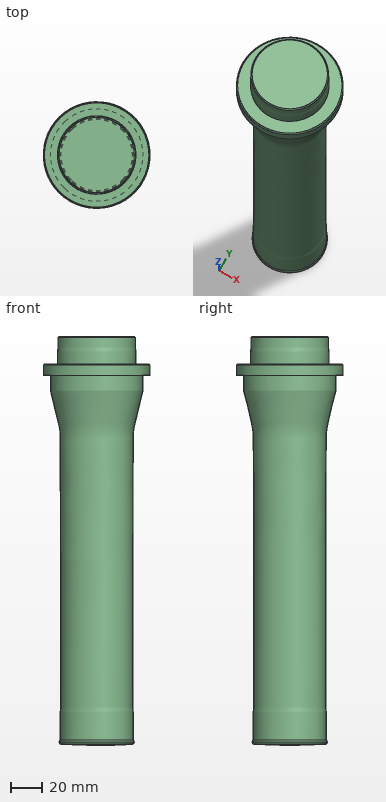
import cadquery as cq
import math

TOTAL_HEIGHT = 261.0
CAP_CROWN = 0.8
CAP_RIM_HEIGHT = 2.3
CAP_SEAT = 3.7
TUBE_STEP_BOTTOM = 21.1
TUBE_STEP_TOP = 24.0
TUBE_TAPER_BOTTOM = 118.2
TUBE_TAPER_TOP = 192.3
FLARE_BOTTOM = 197.0
FLARE_CORNER = 201.0
FLARE_TOP = 226.3
FLANGE_BOTTOM = 236.2
FLANGE_TOP = 243.5
PLUG_STEP_BOTTOM = 251.3
PLUG_STEP_TOP = 253.7

CAP_DIAMETER = 48.0
CAP_DOME_DIAMETER = 45.5
TUBE_DIAMETER = 46.7
TUBE_WAIST_DIAMETER = 46.2
COLLAR_DIAMETER = 59.0
FLANGE_DIAMETER = 68.0
PLUG_BASE_DIAMETER = 50.0
PLUG_TOP_DIAMETER = 49.5

EDGE_CHAMFER = 0.8
CAP_RIM_ROUND = 2.0


def make_housing():
    """Tube, flared neck, flange and plug, revolved as one solid."""
    tube_radius = TUBE_DIAMETER / 2
    waist_radius = TUBE_WAIST_DIAMETER / 2
    collar_radius = COLLAR_DIAMETER / 2
    flange_radius = FLANGE_DIAMETER / 2
    plug_base_radius = PLUG_BASE_DIAMETER / 2
    plug_top_radius = PLUG_TOP_DIAMETER / 2

    flare_angle = math.atan2(collar_radius - tube_radius, FLARE_TOP - FLARE_CORNER)
    tangent_length = FLARE_CORNER - FLARE_BOTTOM
    blend_end = (
        tube_radius + tangent_length * math.sin(flare_angle),
        FLARE_CORNER + tangent_length * math.cos(flare_angle),
    )

    profile = (
        cq.Workplane("XZ")
        .moveTo(0, CAP_SEAT)
        .lineTo(tube_radius, CAP_SEAT)
        .lineTo(tube_radius, TUBE_STEP_BOTTOM)
        .lineTo(waist_radius, TUBE_STEP_TOP)
        .lineTo(waist_radius, TUBE_TAPER_BOTTOM)
        .lineTo(tube_radius, TUBE_TAPER_TOP)
        .lineTo(tube_radius, FLARE_BOTTOM)
        .tangentArcPoint(blend_end, relative=False)
        .lineTo(collar_radius, FLARE_TOP)
        .lineTo(collar_radius, FLANGE_BOTTOM)
        .lineTo(flange_radius, FLANGE_BOTTOM)
        .lineTo(flange_radius, FLANGE_TOP - EDGE_CHAMFER)
        .lineTo(flange_radius - EDGE_CHAMFER, FLANGE_TOP)
        .lineTo(plug_base_radius, FLANGE_TOP)
        .lineTo(plug_base_radius, PLUG_STEP_BOTTOM)
        .lineTo(plug_top_radius, PLUG_STEP_TOP)
        .lineTo(plug_top_radius, TOTAL_HEIGHT - EDGE_CHAMFER)
        .lineTo(plug_top_radius - EDGE_CHAMFER, TOTAL_HEIGHT)
        .lineTo(0, TOTAL_HEIGHT)
        .close()
    )
    return profile.revolve(360, (0, 0, 0), (0, 1, 0))


def dome_midpoint(edge_radius, depth):
    """Point halfway out on a spherical dome whose lowest point is the origin."""
    sphere_radius = (edge_radius**2 + depth**2) / (2 * depth)
    mid_radius = edge_radius / 2
    return mid_radius, sphere_radius - math.sqrt(sphere_radius**2 - mid_radius**2)


def make_cap():
    """End cap with a sloped shoulder, a rounded rim and a spherical underside."""
    rim_radius = CAP_DIAMETER / 2
    dome_radius = CAP_DOME_DIAMETER / 2

    profile = (
        cq.Workplane("XZ")
        .moveTo(0, CAP_SEAT)
        .lineTo(TUBE_DIAMETER / 2, CAP_SEAT)
        .lineTo(rim_radius, CAP_RIM_HEIGHT)
        .radiusArc((dome_radius, CAP_CROWN), CAP_RIM_ROUND)
        .threePointArc(dome_midpoint(dome_radius, CAP_CROWN), (0, 0))
        .close()
    )
    return profile.revolve(360, (0, 0, 0), (0, 1, 0))


housing = make_housing()
cap = make_cap()
result = cq.Compound.makeCompound([housing.val(), cap.val()])